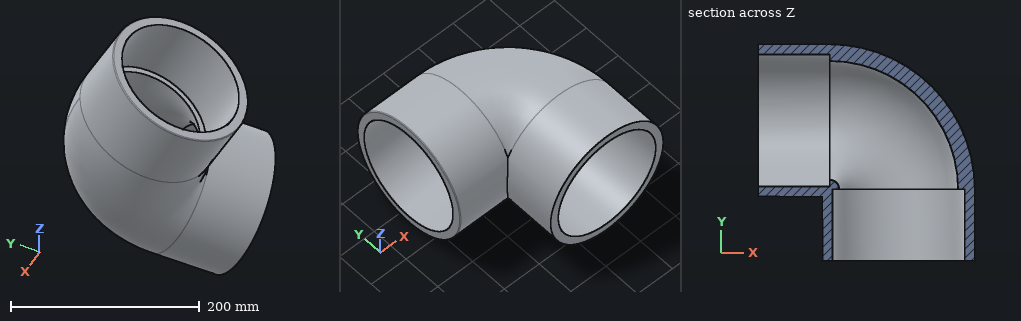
import cadquery as cq
import math

overall_length = 230.0
outer_diameter = 162.0
socket_diameter = 140.0
bore_diameter = 126.0

leg_length = 76.0
socket_depth = leg_length
rim_round = 1.0

outer_radius = outer_diameter / 2
axis_offset = overall_length - outer_radius
bend_radius = axis_offset - leg_length
bend_angle = 90.0


def x_leg(diameter, length):
    """Cylinder along the X leg, starting at its open end."""
    return cq.Workplane("YZ").center(axis_offset, 0).circle(diameter / 2).extrude(length)


def y_leg(diameter, length):
    """Cylinder along the Y leg, starting at its open end."""
    return cq.Workplane("XZ").center(axis_offset, 0).circle(diameter / 2).extrude(-length)


def revolve_bend(section):
    """Turn an XZ section about the vertical line through the inner corner of the legs."""
    turned = section.revolve(bend_angle, (0, 0, 0), (0, 1, 0))
    return turned.translate((leg_length, leg_length, 0))


def outer_bend():
    """Outside of the bend.

    The outer radius exceeds the bend radius, so the section is a circle cut
    off at the turning axis. It is built as an upper half and its mirror image,
    because one revolved face over both poles gets wrong bounds when joined.
    """
    half_chord = math.sqrt(outer_radius**2 - bend_radius**2)
    upper_section = (
        cq.Workplane("XZ")
        .lineTo(0, half_chord)
        .threePointArc((bend_radius, outer_radius), (bend_radius + outer_radius, 0))
        .close()
    )
    upper_half = revolve_bend(upper_section)
    return upper_half.union(upper_half.mirror("XY"), clean=False)


def bore_bend():
    """Curved stretch of the through bore."""
    section = cq.Workplane("XZ").moveTo(bend_radius, 0).circle(bore_diameter / 2)
    return revolve_bend(section)


def outer_body():
    """Two plain legs joined by the bend, with the rim of the X leg rounded."""
    rounded_leg = x_leg(outer_diameter, leg_length).faces("<X").edges().fillet(rim_round)
    legs = rounded_leg.union(y_leg(outer_diameter, leg_length))
    return legs.union(outer_bend(), clean=False)


def cut_passage(body):
    """Cut the curved bore and the wider pipe socket at each open end."""
    body = body.cut(bore_bend(), clean=False)
    for leg in (x_leg, y_leg):
        body = body.cut(leg(socket_diameter, socket_depth), clean=False)
    return body


result = cut_passage(outer_body()).solids()